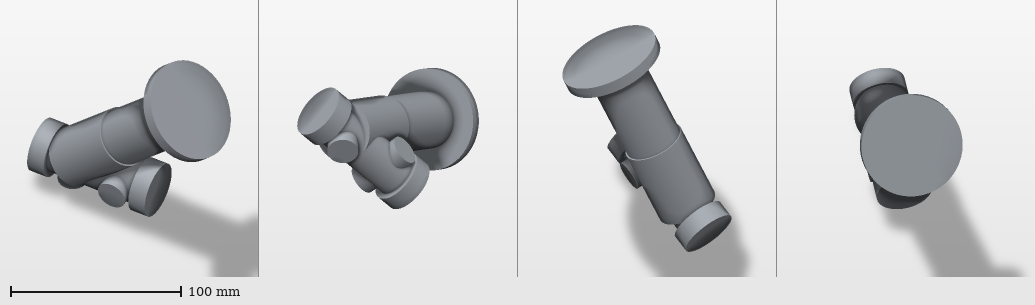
import cadquery as cq
import math

pipe_diameter = 26.0
pipe_length = 78.5
cap_diameter = 33.3
cap_thickness = 10.9

branch_angle = math.radians(45)
branch_offset = 21.5
sleeve_diameter = 36.0
sleeve_length = 48.1
tube_diameter = 34.0
branch_length = 111.4
flange_diameter = 60.0
flange_thickness = 6.9

boss_diameter = 18.0
bottom_boss_reach = 18.0
side_boss_reach = 17.0
side_boss_x = 56.5


def cylinder(diameter, length, start, direction):
    solid = cq.Solid.makeCylinder(diameter / 2, length, cq.Vector(*start), cq.Vector(*direction))
    return cq.Workplane(solid)


def run_cylinder(diameter, length, start_x):
    return cylinder(diameter, length, (start_x, 0, 0), (1, 0, 0))


def branch_cylinder(diameter, start, end):
    """Cylinder on the branch axis between two distances from the run pipe axis."""
    direction = (math.cos(branch_angle), 0, math.sin(branch_angle))
    base = (branch_offset + start * direction[0], 0, start * direction[2])
    return cylinder(diameter, end - start, base, direction)


run_pipe = run_cylinder(pipe_diameter, pipe_length, 0)
for cap_start in (0, pipe_length - cap_thickness):
    run_pipe = run_pipe.union(run_cylinder(cap_diameter, cap_thickness, cap_start))

flange_start = branch_length - flange_thickness
branch = (
    branch_cylinder(sleeve_diameter, 0, sleeve_length)
    .union(branch_cylinder(tube_diameter, sleeve_length, flange_start))
    .union(branch_cylinder(flange_diameter, flange_start, branch_length))
)

bottom_boss = cylinder(boss_diameter, bottom_boss_reach, (branch_offset, 0, 0), (0, 0, -1))
side_bosses = cylinder(boss_diameter, 2 * side_boss_reach, (side_boss_x, -side_boss_reach, 0), (0, 1, 0))

result = run_pipe.union(branch).union(bottom_boss).union(side_bosses)